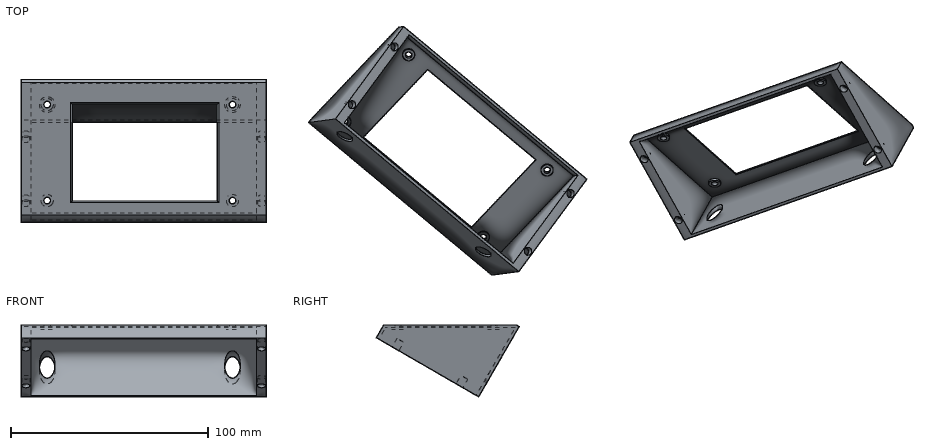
import cadquery as cq
import math

width = 124.5
height = 36.6
tilt = math.radians(30)
base_length = 60.0
back_length = 41.2

side_wall = 5.0
wall = 1.5
plate = 1.5

window_width = 75.2
window_depth = 50.8
window_chamfer = 0.9
window_x = 0.5

screw_hole = 3.2
screw_boss = 6.2
boss_height = 1.0
screw_access = 8.0
screw_pitch_x = 94.0
screw_pitch_y = 48.7
screw_x = -2.0
pattern_y = -0.9

fixing_hole = 4.0
fixing_depth = 5.0
fixing_pitch_x = width - side_wall
fixing_pitch_y = 37.5

corner_y = (base_length * math.cos(tilt) - back_length * math.sin(tilt)) / 2


def tilted_point(forward, up):
    """(Y, Z) of a point measured along the bottom and square to it, from the lowest edge."""
    y = corner_y - forward * math.cos(tilt) + up * math.sin(tilt)
    z = forward * math.sin(tilt) + up * math.cos(tilt)
    return (y, z)


def up_to_level(forward, level):
    """Distance square to the bottom at which a wall reaches the given Z level."""
    return (level - forward * math.sin(tilt)) / math.cos(tilt)


def extrude_across(points, length):
    """Prism of a (Y, Z) outline, centred on X = 0."""
    return cq.Workplane("YZ").polyline(points).close().extrude(length / 2, both=True)


def make_body():
    bevel_forward = (height - back_length * math.cos(tilt)) / math.sin(tilt)
    return extrude_across(
        [
            tilted_point(0, 0),
            tilted_point(base_length, 0),
            tilted_point(base_length, up_to_level(base_length, height)),
            tilted_point(bevel_forward, back_length),
            tilted_point(0, back_length),
        ],
        width,
    )


def make_cavity():
    ceiling = height - plate
    front = base_length - wall
    return extrude_across(
        [
            tilted_point(wall, 0),
            tilted_point(front, 0),
            tilted_point(front, up_to_level(front, ceiling)),
            tilted_point(wall, up_to_level(wall, ceiling)),
        ],
        width - 2 * side_wall,
    )


def make_window():
    inner_width = window_width - 2 * window_chamfer
    inner_depth = window_depth - 2 * window_chamfer
    top_centre = (window_x, pattern_y, height)
    opening = cq.Workplane("XY", origin=top_centre).rect(inner_width, inner_depth).extrude(-plate)
    chamfer = (
        cq.Workplane("XY", origin=top_centre)
        .rect(window_width, window_depth)
        .workplane(offset=-window_chamfer)
        .rect(inner_width, inner_depth)
        .loft(ruled=True)
    )
    return opening.union(chamfer)


def screw_cylinders(diameter, top, length):
    """Four downward cylinders on the screw axes."""
    return (
        cq.Workplane("XY", origin=(screw_x, pattern_y, top))
        .rarray(screw_pitch_x, screw_pitch_y, 2, 2)
        .circle(diameter / 2)
        .extrude(-length)
    )


def make_access_holes():
    return (
        cq.Workplane("XY", origin=(screw_x, pattern_y + screw_pitch_y / 2, 0))
        .rarray(screw_pitch_x, 1.2, 2, 1)
        .circle(screw_access / 2)
        .extrude(height - plate)
    )


def make_fixing_holes():
    middle_y, middle_z = tilted_point(base_length / 2, 0)
    bottom = cq.Plane(
        origin=(0, middle_y, middle_z),
        xDir=(1, 0, 0),
        normal=(0, math.sin(tilt), math.cos(tilt)),
    )
    return (
        cq.Workplane(bottom)
        .rarray(fixing_pitch_x, fixing_pitch_y, 2, 2)
        .circle(fixing_hole / 2)
        .extrude(fixing_depth)
    )


result = (
    make_body()
    .cut(make_cavity())
    .cut(make_access_holes())
    .union(screw_cylinders(screw_boss, height - plate, boss_height))
    .cut(screw_cylinders(screw_hole, height, plate + boss_height))
    .cut(make_window())
    .cut(make_fixing_holes())
)